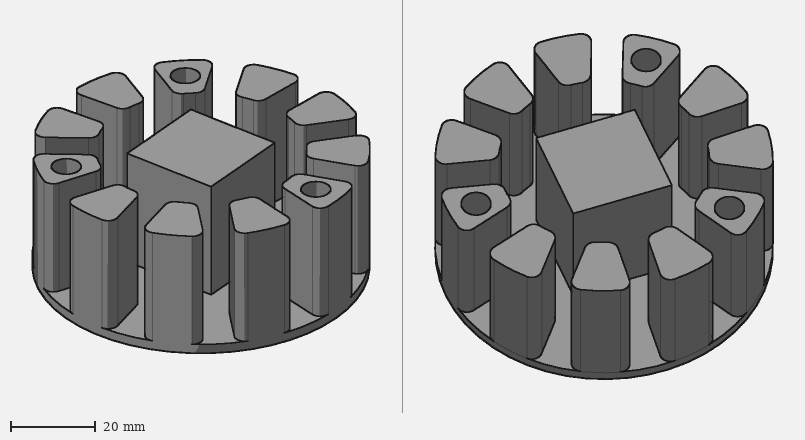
import cadquery as cq
import math

OUTER_DIAMETER = 80.0
TOTAL_HEIGHT = 32.5
BASE_THICKNESS = 2.5
TOOTH_HEIGHT = TOTAL_HEIGHT - BASE_THICKNESS

TOOTH_COUNT = 11
TOOTH_PITCH = 360.0 / TOOTH_COUNT
FIRST_TOOTH_ANGLE = -30.0
RING_INNER_DIAMETER = 50.0
SLOT_WIDTH = 7.5
TOOTH_CORNER_RADIUS = 2.5

POST_SIDE = 25.0
POST_HEIGHT = TOOTH_HEIGHT

HOLE_DIAMETER = 7.0
HOLE_CIRCLE_RADIUS = 33.0
HOLED_TEETH = (1, 5, 8)


def tooth_angle(index):
    """Direction of a tooth's centre line, in degrees from +X."""
    return FIRST_TOOTH_ANGLE + index * TOOTH_PITCH


def make_tooth():
    """One tooth centred on the +X direction, with its upright edges rounded."""
    ring = (
        cq.Workplane("XY", origin=(0, 0, BASE_THICKNESS))
        .circle(OUTER_DIAMETER / 2)
        .circle(RING_INNER_DIAMETER / 2)
        .extrude(TOOTH_HEIGHT)
    )
    half_pitch = math.radians(TOOTH_PITCH / 2)
    apex = SLOT_WIDTH / 2 / math.sin(half_pitch)
    reach = OUTER_DIAMETER
    half_spread = (reach - apex) * math.tan(half_pitch)
    wedge = (
        cq.Workplane("XY", origin=(0, 0, BASE_THICKNESS))
        .polyline([(apex, 0), (reach, -half_spread), (reach, half_spread)])
        .close()
        .extrude(TOOTH_HEIGHT)
    )
    return ring.intersect(wedge).edges("|Z").fillet(TOOTH_CORNER_RADIUS)


def make_base():
    """Round base plate."""
    return cq.Workplane("XY").circle(OUTER_DIAMETER / 2).extrude(BASE_THICKNESS)


def make_post():
    """Square post in the middle of the base."""
    return (
        cq.Workplane("XY", origin=(0, 0, BASE_THICKNESS))
        .rect(POST_SIDE, POST_SIDE)
        .extrude(POST_HEIGHT)
    )


def make_screw_holes():
    """Cutters for the through holes, one on each holed tooth."""
    centres = []
    for index in HOLED_TEETH:
        angle = math.radians(tooth_angle(index))
        centres.append((HOLE_CIRCLE_RADIUS * math.cos(angle), HOLE_CIRCLE_RADIUS * math.sin(angle)))
    return cq.Workplane("XY").pushPoints(centres).circle(HOLE_DIAMETER / 2).extrude(TOTAL_HEIGHT)


body = make_base().union(make_post())
tooth = make_tooth()
for tooth_index in range(TOOTH_COUNT):
    body = body.union(tooth.rotate((0, 0, 0), (0, 0, 1), tooth_angle(tooth_index)))

result = body.cut(make_screw_holes())